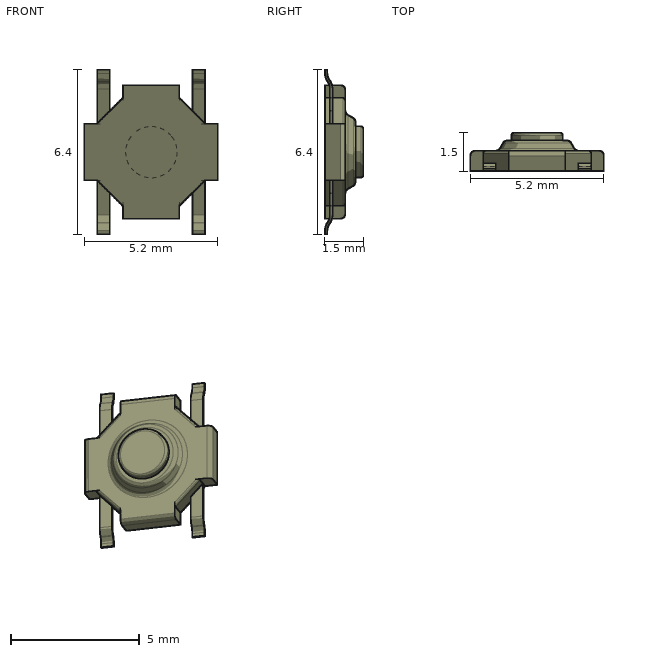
import cadquery as cq
import math

body_span = 5.2
body_thickness = 0.8
arm_width = 2.2
notch_span = 4.2
arm_end_fillet = 0.2
diagonal_fillet = 0.1

dome_base_radius = 1.5
dome_top = 1.2
dome_slope = math.radians(30)
dome_fillet = 0.2
button_radius = 1.0
button_top = 1.5
button_fillet = 0.1

lead_span = 6.4
lead_width = 0.5
lead_thickness = 0.1
lead_height = 0.2
foot_length = 0.15
foot_bend_radius = 0.485
strip_bend_radius = 0.53
bend_angle = math.radians(35)


def make_body():
    """Cross with diagonal inner corners, rounded along its upper edges."""
    end = body_span / 2
    side = arm_width / 2
    notch = notch_span / 2
    corner = [(end, side), (notch, side), (side, notch), (side, end)]
    mirrored = [(-x, z) for x, z in reversed(corner)]
    upper_half = corner + mirrored
    lower_half = [(-x, -z) for x, z in upper_half]
    body = cq.Workplane("XZ").polyline(upper_half + lower_half).close().extrude(-body_thickness)

    def upper_edge(x, z):
        return cq.selectors.NearestToPointSelector((x, body_thickness, z))

    diagonal_middle = (notch + side) / 2
    for x_sign in (-1, 1):
        for z_sign in (-1, 1):
            edge = upper_edge(x_sign * diagonal_middle, z_sign * diagonal_middle)
            body = body.edges(edge).fillet(diagonal_fillet)
    for x, z in ((end, 0), (-end, 0), (0, end), (0, -end)):
        body = body.edges(upper_edge(x, z)).fillet(arm_end_fillet)
    return body


def add_dome(body):
    """Cone blended into the body top, with a rounded upper rim."""
    height = dome_top - body_thickness
    rim_radius = dome_base_radius - height * math.tan(dome_slope)
    profile = [
        (0, 0),
        (dome_base_radius, 0),
        (dome_base_radius, body_thickness),
        (rim_radius, dome_top),
        (0, dome_top),
    ]
    dome = cq.Workplane("XY").polyline(profile).close().revolve(360, (0, 0), (0, 1))
    with_dome = body.union(dome)
    round_edges = with_dome.edges("%CIRCLE").edges(cq.selectors.RadiusNthSelector(-1))
    with_dome = round_edges.fillet(dome_fillet)
    return with_dome.faces(">Y").edges().fillet(dome_fillet)


def make_button():
    button = cq.Workplane("XZ").circle(button_radius).extrude(-button_top)
    return button.faces(">Y").edges().fillet(button_fillet)


def make_lead_half(x_center):
    """Upper half of a lead: a straight strip, an S-bend and a flat foot."""
    sine = math.sin(bend_angle)
    cosine = math.cos(bend_angle)
    bend_drop = (foot_bend_radius + strip_bend_radius) * (1 - cosine)
    slope_length = (lead_height - bend_drop) / sine
    bend_run = (foot_bend_radius + strip_bend_radius) * sine + slope_length * cosine
    foot_start = lead_span / 2 - foot_length
    strip_end = foot_start - bend_run
    middle = lead_thickness / 2
    foot_bend_center = middle + foot_bend_radius
    strip_bend_center = middle + lead_height - strip_bend_radius

    def foot_bend(radius, angle):
        return foot_bend_center - radius * math.cos(angle), foot_start - radius * math.sin(angle)

    def strip_bend(radius, angle):
        return strip_bend_center + radius * math.cos(angle), strip_end + radius * math.sin(angle)

    foot_outer = foot_bend_radius + middle
    foot_inner = foot_bend_radius - middle
    strip_outer = strip_bend_radius + middle
    strip_inner = strip_bend_radius - middle
    half_angle = bend_angle / 2
    tip = lead_span / 2
    return (
        cq.Workplane("YZ", origin=(x_center - lead_width / 2, 0, 0))
        .moveTo(lead_height, 0)
        .lineTo(*strip_bend(strip_inner, 0))
        .threePointArc(strip_bend(strip_inner, half_angle), strip_bend(strip_inner, bend_angle))
        .lineTo(*foot_bend(foot_outer, bend_angle))
        .threePointArc(foot_bend(foot_outer, half_angle), foot_bend(foot_outer, 0))
        .lineTo(0, tip)
        .lineTo(lead_thickness, tip)
        .lineTo(*foot_bend(foot_inner, 0))
        .threePointArc(foot_bend(foot_inner, half_angle), foot_bend(foot_inner, bend_angle))
        .lineTo(*strip_bend(strip_outer, bend_angle))
        .threePointArc(strip_bend(strip_outer, half_angle), strip_bend(strip_outer, 0))
        .lineTo(lead_height + lead_thickness, 0)
        .close()
        .extrude(lead_width)
    )


result = add_dome(make_body()).union(make_button())

lead_offset = (notch_span - lead_width) / 2
for lead_x in (-lead_offset, lead_offset):
    lead_half = make_lead_half(lead_x)
    result = result.union(lead_half).union(lead_half.mirror("XY"))